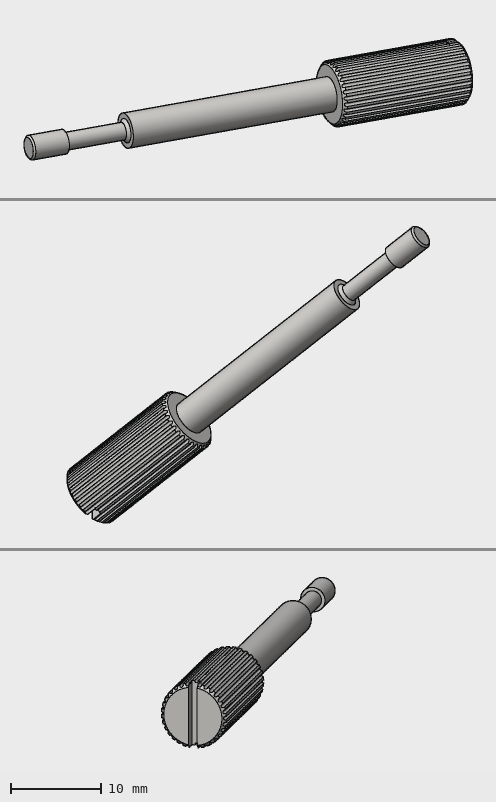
import cadquery as cq

OVERALL_LENGTH = 53.1
HEAD_LENGTH = 16.05
TIP_LENGTH = 4.35
SHAFT_START = 11.95

HEAD_RADIUS = 7.5 / 2
SHAFT_RADIUS = 4.0 / 2
NECK_RADIUS = 2.0 / 2
TIP_RADIUS = 2.8 / 2

HEAD_CHAMFER = 0.4
TIP_CHAMFER = 0.2
SHOULDER_FLARE = 0.35

GROOVE_COUNT = 32
GROOVE_RADIUS = 0.2
GROOVE_DEPTH = 0.255

SLOT_WIDTH = 1.0
SLOT_DEPTH = 1.5

HEAD_START = OVERALL_LENGTH - HEAD_LENGTH


def turned_body():
    """Tip, neck, shaft and chamfered head as one profile revolved about the Y axis."""
    profile = [
        (0, 0),
        (TIP_RADIUS - TIP_CHAMFER, 0),
        (TIP_RADIUS, TIP_CHAMFER),
        (TIP_RADIUS, TIP_LENGTH),
        (NECK_RADIUS, TIP_LENGTH),
        (NECK_RADIUS, SHAFT_START - SHOULDER_FLARE),
        (NECK_RADIUS + SHOULDER_FLARE, SHAFT_START),
        (SHAFT_RADIUS, SHAFT_START),
        (SHAFT_RADIUS, HEAD_START),
        (HEAD_RADIUS - HEAD_CHAMFER, HEAD_START),
        (HEAD_RADIUS, HEAD_START + HEAD_CHAMFER),
        (HEAD_RADIUS, OVERALL_LENGTH - HEAD_CHAMFER),
        (HEAD_RADIUS - HEAD_CHAMFER, OVERALL_LENGTH),
        (0, OVERALL_LENGTH),
    ]
    return cq.Workplane("XY").polyline(profile).close().revolve(360, (0, 0), (0, 1))


def knurl_grooves():
    """Round-bottomed grooves along the head, evenly spaced, with one on each end of the X and Z axes."""
    groove_centre_radius = HEAD_RADIUS - GROOVE_DEPTH + GROOVE_RADIUS
    return (
        cq.Workplane("XZ", origin=(0, OVERALL_LENGTH, 0))
        .polarArray(groove_centre_radius, 0, 360, GROOVE_COUNT)
        .circle(GROOVE_RADIUS)
        .extrude(HEAD_LENGTH)
    )


def screwdriver_slot():
    """Slot across the end of the head, running through along Z."""
    return (
        cq.Workplane("XY")
        .box(SLOT_WIDTH, SLOT_DEPTH, 2 * HEAD_RADIUS, centered=(True, False, True))
        .translate((0, OVERALL_LENGTH - SLOT_DEPTH, 0))
    )


result = turned_body().cut(knurl_grooves()).cut(screwdriver_slot())